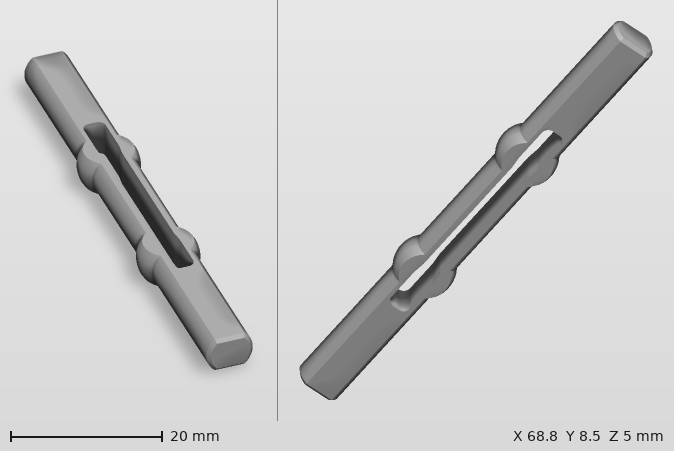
import cadquery as cq

bar_length = 68.75
bar_diameter = 6.5
flat_height = 5.0
end_chamfer = 0.5

ball_diameter = 8.5
ball_spacing = 22.15

slot_length = 34.6
slot_end_width = 3.1
slot_middle_width = 2.7
slot_middle_length = 19.1
taper_length = 1.8
slot_corner_radius = 1.0


def make_rod():
    """Round rod along X with flats on top and bottom and chamfered ends."""
    rod = cq.Workplane("YZ").circle(bar_diameter / 2).extrude(bar_length / 2, both=True)
    flats = cq.Workplane("XY").box(bar_length, bar_diameter, flat_height)
    return rod.intersect(flats).faces("<X or >X").chamfer(end_chamfer)


def make_ball(center_x):
    """Ball on the rod axis, cut level with the flats of the rod."""
    ball = cq.Workplane("XY").sphere(ball_diameter / 2)
    flats = cq.Workplane("XY").box(ball_diameter, ball_diameter, flat_height)
    return ball.intersect(flats).translate((center_x, 0, 0))


def make_slot():
    """Slot tool with rounded corners and a waisted middle."""
    end_x = slot_length / 2
    narrow_x = slot_middle_length / 2
    wide_x = narrow_x + taper_length
    wide_y = slot_end_width / 2
    narrow_y = slot_middle_width / 2
    upper_side = [
        (-end_x, wide_y),
        (-wide_x, wide_y),
        (-narrow_x, narrow_y),
        (narrow_x, narrow_y),
        (wide_x, wide_y),
        (end_x, wide_y),
    ]
    lower_side = [(x, -y) for x, y in reversed(upper_side)]
    slot = cq.Workplane("XY").polyline(upper_side + lower_side).close().extrude(flat_height / 2, both=True)
    corner_edges = slot.faces("<X or >X").edges("|Z")
    return corner_edges.fillet(slot_corner_radius)


result = make_rod()
for side in (-1, 1):
    result = result.union(make_ball(side * ball_spacing / 2))
result = result.cut(make_slot())